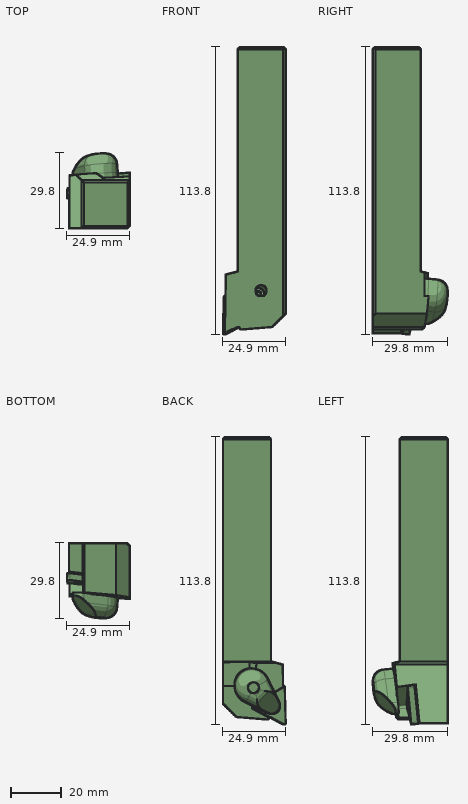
import cadquery as cq
import math

total_length = 113.8
shank_size = 19.1
end_chamfer = 0.9
edge_chamfer = 1.1

head_reach = 4.7
head_tip = (-5.0, 0.5)
step_top = (0.3, 3.1)
step_bottom = (1.3, 1.9)
right_slope_bottom = (13.7, 3.0)
right_slope_top = (shank_size, 8.3)
head_depth = 22.2
shoulder_z = 25.0
shoulder_angle = 15
rear_bottom_y = 19.8
rear_bottom_z = 1.9
rear_bottom_size = 3.4
rear_above_insert = 4.2
notch_left_x = 5.3
notch_floor_x = 8.5
notch_floor_y = 20.0
notch_rise_y = 0.6
notch_floor_z = 15.4

seat_tilt_x = 0.08
seat_tilt_z = 0.095
insert_face = (-5.8, 14.5, 0)

insert_side = 16.5
insert_thickness = 2.7
insert_nose = 0.8
insert_turn = 1.5
insert_center_x = -0.9
insert_center_z = 7.5
shim_thickness = 0.6
shim_inset = 0.6
pin_radius = 1.9
pin_depth = 7.4
pin_rise = 0.6

screw_x = 9.3
screw_z = 17.4
screw_radius = 2.2
screw_recess = 12.5
socket_width = 2.0
socket_depth = 1.7
boss_radius = 6.8
nose_radius = 3.2
nose_distance = 11.3
clamp_height = 8.3
foot_depth = 4.5
nose_tip_height = 1.3
nose_slope = 35
clamp_edge_radius = 4.5

big = 68.3

seat_normal = cq.Vector(-seat_tilt_x, 1, -seat_tilt_z).normalized()
seat_up = cq.Vector(0, seat_tilt_z, 1)
insert_corner = cq.Vector(*insert_face)
screw_front = cq.Vector(screw_x, 0, screw_z)


def seat_point(x, z, height=0):
    """Point at this X and Z on the insert's face plane, moved along the normal by height."""
    y = insert_corner.y + seat_tilt_x * (x - insert_corner.x) + seat_tilt_z * (z - insert_corner.z)
    return cq.Vector(x, y, z) + seat_normal * height


def seat_plane(height):
    """Workplane centered on the insert, this far above its face."""
    center = seat_point(insert_center_x, insert_center_z, height)
    return cq.Workplane(cq.Plane(center, seat_up, seat_normal))


def triangle(side):
    """Corners (tip, upper, right) around the insert's center, as (up, right) pairs."""
    reach = side / math.sqrt(3)
    angles = [math.radians(corner - insert_turn) for corner in (240, 120, 0)]
    return [(reach * math.sin(a), reach * math.cos(a)) for a in angles]


def triangular_plate(height, thickness, side):
    plate = seat_plane(height).polyline(triangle(side)).close().extrude(-thickness)
    return plate.edges(cq.selectors.ParallelDirSelector(seat_normal)).fillet(insert_nose)


def shank():
    length = total_length - shoulder_z
    bar = cq.Workplane("XY").box(shank_size, shank_size, length, centered=False).translate((0, 0, shoulder_z))
    return bar.faces(">Z").chamfer(end_chamfer)


def head():
    fall = math.tan(math.radians(shoulder_angle))
    left_top_z = shoulder_z - head_reach * fall
    outline = [
        (0, shoulder_z), (-head_reach, left_top_z), head_tip, step_top, step_bottom,
        right_slope_bottom, right_slope_top, (shank_size, shoulder_z),
    ]
    body = cq.Workplane("XZ").polyline(outline).close().extrude(-head_depth)
    rear_reach = 2 * (head_depth - shank_size)
    rear_shoulder = (
        cq.Workplane("YZ").workplane(offset=-big / 2)
        .polyline([
            (shank_size, shoulder_z), (shank_size + rear_reach, shoulder_z - rear_reach * fall),
            (shank_size + rear_reach, shoulder_z),
        ]).close().extrude(big)
    )
    behind_rear_face = seat_plane(rear_above_insert).rect(big, big).extrude(big)
    return body.cut(rear_shoulder).cut(behind_rear_face)


def bottom_chamfer_cut():
    y, z, size = rear_bottom_y, rear_bottom_z, rear_bottom_size
    corner = [(y, z), (y + size, z + size), (y + size, z - size), (y, z - size)]
    return cq.Workplane("YZ").workplane(offset=-big / 2).polyline(corner).close().extrude(big)


def rear_notch():
    outline = [
        (notch_left_x, big), (notch_left_x, head_depth), (notch_floor_x, notch_floor_y),
        (shank_size, notch_floor_y + notch_rise_y), (shank_size, big),
    ]
    height = shoulder_z - notch_floor_z
    return cq.Workplane("XY").workplane(offset=notch_floor_z).polyline(outline).close().extrude(height)


def insert_pocket():
    tip, upper, right = triangle(insert_side)
    beyond = (2 * upper[0] - right[0], 2 * upper[1] - right[1])
    below = (2 * tip[0] - right[0], 2 * tip[1] - right[1])
    outline = [beyond, right, below]
    floor = -insert_thickness - shim_thickness
    pocket = seat_plane(floor).polyline(outline).close().extrude(big)
    corner = cq.selectors.NearestToPointSelector(
        seat_point(insert_center_x + right[1], insert_center_z + right[0]).toTuple())
    return pocket.edges(cq.selectors.ParallelDirSelector(seat_normal)).edges(corner).fillet(insert_nose)


def pin_cylinder():
    return seat_plane(pin_rise).circle(pin_radius).extrude(-pin_depth - pin_rise)


def screw_cylinder(start, length):
    """Cylinder along the screw axis, its start measured from the front face."""
    plane = cq.Plane(screw_front + seat_normal * start, seat_up, seat_normal)
    return cq.Workplane(plane).circle(screw_radius).extrude(length)


def make_holder():
    corner = [(shank_size, 0), (shank_size - edge_chamfer, 0), (shank_size, edge_chamfer)]
    front_edge = cq.Workplane("XY").polyline(corner).close().extrude(total_length)
    holder = shank().union(head()).cut(front_edge)
    holder = holder.cut(bottom_chamfer_cut()).cut(rear_notch()).cut(insert_pocket())
    return holder.cut(pin_cylinder()).cut(screw_cylinder(-screw_recess, big))


def make_insert():
    return triangular_plate(0, insert_thickness, insert_side).cut(pin_cylinder())


def make_shim():
    side = insert_side - 2 * math.sqrt(3) * shim_inset
    return triangular_plate(-insert_thickness, shim_thickness, side).cut(pin_cylinder())


clamp_seat = (seat_point(screw_x, screw_z, rear_above_insert) - screw_front).dot(seat_normal)


def make_clamp():
    base = screw_front + seat_normal * clamp_seat
    plane = cq.Plane(base, cq.Vector(-1, -seat_tilt_x - seat_tilt_z, -1), seat_normal)
    lean = (boss_radius - nose_radius) / nose_distance
    rise = math.sqrt(1 - lean ** 2)
    boss_x, boss_y = boss_radius * lean, boss_radius * rise
    nose_x, nose_y = nose_distance + nose_radius * lean, nose_radius * rise
    body = (
        cq.Workplane(plane).moveTo(boss_x, boss_y)
        .threePointArc((-boss_radius, 0), (boss_x, -boss_y))
        .lineTo(nose_x, -nose_y)
        .threePointArc((nose_distance + nose_radius, 0), (nose_x, nose_y))
        .close().extrude(clamp_height)
    )
    tip = nose_distance + nose_radius
    run = (clamp_height - nose_tip_height) / math.tan(math.radians(nose_slope))
    slope_side = cq.Plane(base, plane.xDir, plane.xDir.cross(plane.zDir))
    wedge_top = 2 * clamp_height - nose_tip_height
    wedge = [(tip, nose_tip_height), (tip - 2 * run, wedge_top), (tip, wedge_top)]
    slope = cq.Workplane(slope_side).polyline(wedge).close().extrude(big, both=True)
    body = body.cut(slope)
    top = base + seat_normal * clamp_height
    body = body.faces(cq.selectors.NearestToPointSelector(top.toTuple())).edges().fillet(clamp_edge_radius)
    foot = cq.Workplane(plane).circle(boss_radius).extrude(-foot_depth).intersect(rear_notch())
    return body.union(foot).cut(screw_cylinder(0, big))


def make_screw():
    screw = screw_cylinder(screw_recess, clamp_seat + clamp_height - screw_recess)
    end = cq.Plane(screw_front + seat_normal * screw_recess, seat_up, seat_normal)
    return screw.cut(cq.Workplane(end).polygon(6, socket_width).extrude(socket_depth))


holder = make_holder()
insert = make_insert()
shim = make_shim()
pin = pin_cylinder()
clamp = make_clamp()
screw = make_screw()

result = cq.Compound.makeCompound([
    holder.val(), insert.val(), shim.val(), pin.val(), clamp.val(), screw.val(),
])